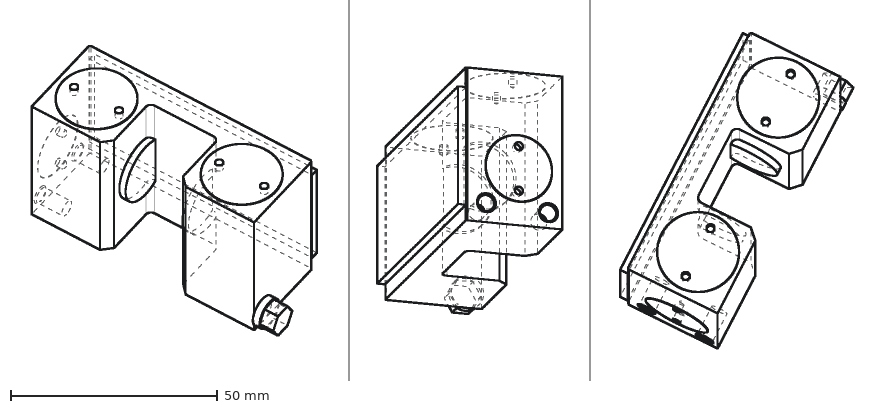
import cadquery as cq
import math


OVERALL_LENGTH = 72.1

HOUSING_LENGTH = 66.0
HOUSING_DEPTH = 24.5
HOUSING_HEIGHT = 39.0
SLOT_WIDTH = 20.5
SLOT_DEPTH = 17.4
SLOT_FILLET = 1.5
SLOT_MOUTH_CHAMFER = 2.45
BACK_EDGE_CHAMFER = 0.35

PAD_DIAMETER = 17.0
PAD_GAP = 16.8
PAD_FROM_FRONT = 13.2
PAD_ROOT = SLOT_FILLET

CAP_RISE = 0.1
CAP_FROM_FRONT = 11.1
TOP_CAP_DIAMETER = 20.0
TOP_CAP_FACE_DIAMETER = 19.8
TOP_CAP_FROM_END = 11.45
SIDE_CAP_DIAMETER = 17.0
SIDE_CAP_FACE_DIAMETER = 16.8
SIDE_CAP_HEIGHT = 14.5
SPANNER_HOLE_DIAMETER = 2.0
SPANNER_HOLE_DEPTH = 2.0
SPANNER_HOLE_SPACING_RATIO = 2 / 3
DRILL_POINT_ANGLE = 118.0

PORT_DIAMETER = 4.1
PORT_MOUTH_DIAMETER = 4.8
PORT_DEPTH = 7.9
FRONT_PORT_FROM_FRONT = 3.5
FRONT_PORT_HEIGHT = 4.0
REAR_PORT_FROM_FRONT = 19.3
REAR_PORT_HEIGHT = 5.0

PLATE_THICKNESS = 2.0
PLATE_HEIGHT = 30.0
PLATE_BOTTOM = 4.0

COLLAR_DIAMETER = 8.2
COLLAR_LENGTH = 2.0
HEX_ACROSS_FLATS = 7.0
FITTING_LENGTH = OVERALL_LENGTH - CAP_RISE - HOUSING_LENGTH

END_X = HOUSING_LENGTH / 2


def make_block():
    """Slotted block with chamfered slot mouth and chamfered rear vertical edges."""
    half_slot = SLOT_WIDTH / 2
    half_mouth = half_slot + SLOT_MOUTH_CHAMFER
    rear_x = END_X - BACK_EDGE_CHAMFER
    chamfer_y = HOUSING_DEPTH - BACK_EDGE_CHAMFER
    right_side = [
        (half_slot, SLOT_DEPTH),
        (half_slot, SLOT_MOUTH_CHAMFER),
        (half_mouth, 0),
        (END_X, 0),
        (END_X, chamfer_y),
        (rear_x, HOUSING_DEPTH),
    ]
    left_side = [(-x, y) for x, y in reversed(right_side)]
    block = cq.Workplane("XY").polyline(right_side + left_side).close().extrude(HOUSING_HEIGHT)
    inner_corners = cq.selectors.BoxSelector(
        (-half_mouth, SLOT_DEPTH - SLOT_FILLET, 0),
        (half_mouth, SLOT_DEPTH + SLOT_FILLET, HOUSING_HEIGHT),
    )
    return block.edges("|Z").edges(inner_corners).fillet(SLOT_FILLET)


def make_pad(side):
    """Disc rising from one slot wall; side is -1 or +1 along X."""
    thickness = (SLOT_WIDTH - PAD_GAP) / 2 + PAD_ROOT
    face = cq.Vector(side * PAD_GAP / 2, PAD_FROM_FRONT, HOUSING_HEIGHT / 2)
    return cq.Solid.makeCylinder(PAD_DIAMETER / 2, thickness, face, cq.Vector(side, 0, 0))


def make_cap(base, outward, base_diameter, face_diameter):
    """Shallow cone frustum standing proud of a housing face."""
    return cq.Solid.makeCone(base_diameter / 2, face_diameter / 2, CAP_RISE, base, outward)


def make_spanner_holes(base, outward, across, cap_diameter):
    """Two drilled holes with conical bottoms, spaced along the across direction."""
    radius = SPANNER_HOLE_DIAMETER / 2
    point_length = radius / math.tan(math.radians(DRILL_POINT_ANGLE / 2))
    inward = outward * -1
    holes = []
    for sign in (-1, 1):
        offset = sign * cap_diameter * SPANNER_HOLE_SPACING_RATIO / 2
        mouth = base + outward * CAP_RISE + across * offset
        bottom = mouth + inward * SPANNER_HOLE_DEPTH
        holes.append(cq.Solid.makeCylinder(radius, SPANNER_HOLE_DEPTH, mouth, inward))
        holes.append(cq.Solid.makeCone(radius, 0, point_length, bottom, inward))
    return holes


def make_port(y, z):
    """Blind port in the -X end with a 45 degree countersunk mouth."""
    mouth = cq.Vector(-END_X, y, z)
    inward = cq.Vector(1, 0, 0)
    sink_depth = (PORT_MOUTH_DIAMETER - PORT_DIAMETER) / 2
    bore = cq.Solid.makeCylinder(PORT_DIAMETER / 2, PORT_DEPTH, mouth, inward)
    sink = cq.Solid.makeCone(PORT_MOUTH_DIAMETER / 2, PORT_DIAMETER / 2, sink_depth, mouth, inward)
    return [bore, sink]


def make_housing():
    """Block with its pads and caps, drilled for the spanner holes and ports."""
    x_axis = cq.Vector(1, 0, 0)
    z_axis = cq.Vector(0, 0, 1)
    added = []
    removed = []
    for side in (-1, 1):
        added.append(make_pad(side))
        top_base = cq.Vector(side * (END_X - TOP_CAP_FROM_END), CAP_FROM_FRONT, HOUSING_HEIGHT)
        added.append(make_cap(top_base, z_axis, TOP_CAP_DIAMETER, TOP_CAP_FACE_DIAMETER))
        removed += make_spanner_holes(top_base, z_axis, x_axis, TOP_CAP_DIAMETER)

    side_base = cq.Vector(-END_X, CAP_FROM_FRONT, SIDE_CAP_HEIGHT)
    added.append(make_cap(side_base, x_axis * -1, SIDE_CAP_DIAMETER, SIDE_CAP_FACE_DIAMETER))
    removed += make_spanner_holes(side_base, x_axis * -1, z_axis, SIDE_CAP_DIAMETER)
    removed += make_port(FRONT_PORT_FROM_FRONT, FRONT_PORT_HEIGHT)
    removed += make_port(REAR_PORT_FROM_FRONT, REAR_PORT_HEIGHT)

    housing = make_block()
    for solid in added:
        housing = housing.union(cq.Workplane(solid))
    for solid in removed:
        housing = housing.cut(cq.Workplane(solid))
    return housing


def make_plate():
    """Flat plate on the back face, as long as the housing."""
    return (
        cq.Workplane("XY")
        .box(HOUSING_LENGTH, PLATE_THICKNESS, PLATE_HEIGHT, centered=(True, False, False))
        .translate((0, HOUSING_DEPTH, PLATE_BOTTOM))
    )


def make_fitting():
    """Round collar and hexagon, with two of the flats horizontal."""
    hex_across_corners = HEX_ACROSS_FLATS / math.cos(math.pi / 6)
    seat = cq.Workplane("YZ", origin=(END_X, FRONT_PORT_FROM_FRONT, FRONT_PORT_HEIGHT))
    collar = seat.circle(COLLAR_DIAMETER / 2).extrude(COLLAR_LENGTH)
    hexagon = seat.polygon(6, hex_across_corners).extrude(FITTING_LENGTH)
    return collar.union(hexagon)


housing = make_housing()
plate = make_plate()
fitting = make_fitting()

result = cq.Compound.makeCompound([housing.val(), plate.val(), fitting.val()])